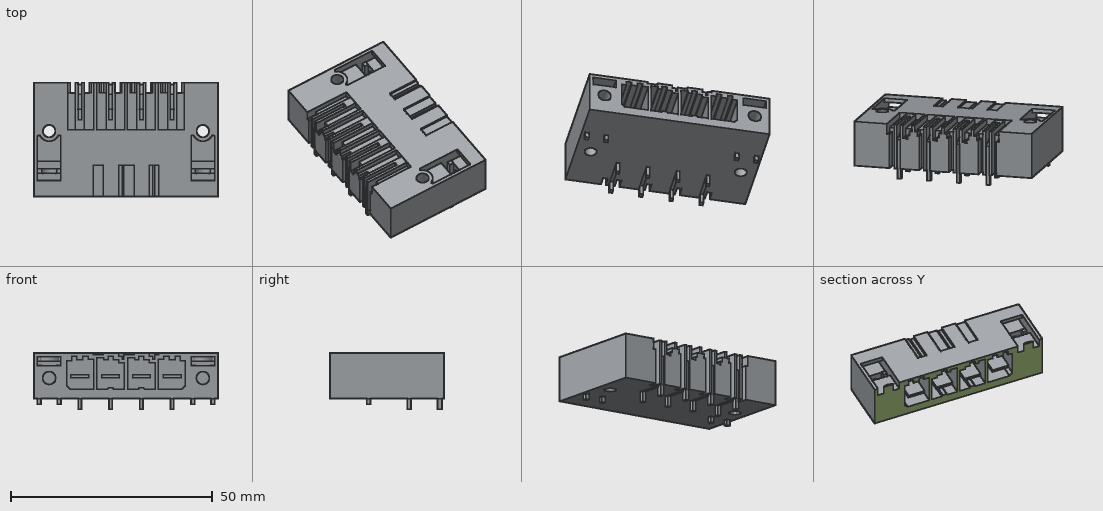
import cadquery as cq
import math

LENGTH = 45.7
DEPTH = 28.3
HEIGHT = 11.35

POLE_COUNT = 4
PITCH = 7.65
POLE_X = [(i - (POLE_COUNT - 1) / 2) * PITCH for i in range(POLE_COUNT)]

CAVITY_DEPTH = 15.55
CAVITY_FLOOR = 2.4
CAVITY_WALL = 0.8
CAVITY_SIDE = (PITCH - CAVITY_WALL) / 2
CAVITY_OUTER_SIDE = 3.2
CAVITY_CHAMFER = 0.8
KEYWAY_TOP = 10.5
KEYWAY_BASE = 9.6
OUTER_KEY_INNER = 0.8
OUTER_KEY_OUTER = 2.05
OUTER_SHOULDER = 9.4
INNER_SHOULDER = 9.75
MID_KEY_HALF = 0.65
MID_STEP_LEFT = 1.65
MID_STEP_RIGHT = 1.95
MID_LEFT_TOP = 10.2
MID_RIGHT_TOP = 8.95
FLOOR_RIB_HEIGHT = 0.3
FLOOR_RIB_BASE = 0.8
FLOOR_RIB_TOP = 0.5

GROOVE_LENGTH = 7.85
GROOVE_DEPTH = 0.45
GROOVE_START = -0.5
GROOVE_LONG_END = 2.0
GROOVE_SHORT_END = 0.5
HOOK_START = -1.85
HOOK_STEP = -0.95
HOOK_DEPTH = 0.8
HOOK_DEEP_DEPTH = 1.55

POCKET_FRONT = 16.65
POCKET_FLOOR = 9.8
POCKET_WALL = 0.7
POCKET_SIDE = (PITCH - POCKET_WALL) / 2
POCKET_OUTER_SIDE = 2.95
RIB_HALF = 1.15
RIB_DROP = 0.15
NOTCH_FRONT = 25.8
NOTCH_HALF = 2.8
NOTCH_LEDGE = 8.7
NOTCH_DROP_HALF = 2.35
RAMP_BASE = 7.75
RAMP_RISE = 0.2
RAMP_WIDTH = 0.65
RAMP_RADIUS = (RAMP_WIDTH**2 + RAMP_RISE**2) / (2 * RAMP_RISE)

FLANGE_X = 19.05
FLANGE_POCKET_WIDTH = 5.8
FLANGE_WINDOW_TOP = 10.4
FLANGE_FLOOR = 8.2
FLANGE_BAR_TOP = 3.95
FLANGE_BAR_BOTTOM = 4.05
FLANGE_STEP_Y = 8.8
FLANGE_STEP_TOP = 9.3
FLANGE_END_RADIUS = 0.35
PAD_FRONT = 5.8
PAD_REAR = 6.9
PAD_TOP = 8.3
PAD_NOTCH_RADIUS = 1.85
FRONT_HOLE_RADIUS = 1.6
FRONT_HOLE_Z = 5.1
NUT_SLOT_FLOOR = FRONT_HOLE_Z - FLANGE_POCKET_WIDTH / 2
SCREW_HOLE_RADIUS = 1.5
SCREW_HOLE_Y = 16.28
SCREW_BOSS_RADIUS = 2.5

BLADE_WIDTH = 4.4
BLADE_THICKNESS = 0.8
BLADE_Z = 5.6
BLADE_FRONT = 5.5
PLATE_THICKNESS = 0.85
PLATE_FRONT = 19.15
PLATE_STEP_Y = 21.65
PLATE_SLOPE_Y = 25.4
PLATE_REAR = 27.85
PLATE_TOP = 8.45
PLATE_REAR_TOP = 7.3
LEG_LENGTH = 2.65
FRONT_LEG_WIDTH = 1.0
REAR_LEG_WIDTH = 1.2

PIN_SIDE = 1.0
PIN_SPACING = 4.95
PIN_Y = 9.6
PIN_LENGTH = 1.4
PIN_EMBEDMENT = 2.3


def box(x0, x1, y0, y1, z0, z1):
    return cq.Workplane("XY").box(x1 - x0, y1 - y0, z1 - z0, centered=False).translate((x0, y0, z0))


def from_front(points, depth):
    """Extrude an XZ outline from the front face towards the rear."""
    return cq.Workplane("XZ").polyline(points).close().extrude(-depth)


def outer_cavity():
    """Cavity of the leftmost pole, centred on X = 0."""
    return from_front(
        [
            (-CAVITY_OUTER_SIDE, CAVITY_FLOOR + CAVITY_CHAMFER),
            (-CAVITY_OUTER_SIDE, OUTER_SHOULDER),
            (-OUTER_KEY_OUTER, OUTER_SHOULDER),
            (-OUTER_KEY_OUTER, KEYWAY_TOP),
            (-OUTER_KEY_INNER, KEYWAY_TOP),
            (-OUTER_KEY_INNER, KEYWAY_BASE),
            (OUTER_KEY_INNER, KEYWAY_BASE),
            (OUTER_KEY_INNER, KEYWAY_TOP),
            (OUTER_KEY_OUTER, KEYWAY_TOP),
            (OUTER_KEY_OUTER, INNER_SHOULDER),
            (CAVITY_SIDE, INNER_SHOULDER),
            (CAVITY_SIDE, CAVITY_FLOOR),
            (-CAVITY_OUTER_SIDE + CAVITY_CHAMFER, CAVITY_FLOOR),
        ],
        CAVITY_DEPTH,
    )


def middle_cavity():
    """Cavity of an inner pole, centred on X = 0, with a low rib along its floor."""
    return from_front(
        [
            (-CAVITY_SIDE, CAVITY_FLOOR),
            (-CAVITY_SIDE, MID_LEFT_TOP),
            (-MID_STEP_LEFT, MID_LEFT_TOP),
            (-MID_STEP_LEFT, KEYWAY_BASE),
            (-MID_KEY_HALF, KEYWAY_BASE),
            (-MID_KEY_HALF, KEYWAY_TOP),
            (MID_KEY_HALF, KEYWAY_TOP),
            (MID_KEY_HALF, KEYWAY_BASE),
            (MID_STEP_RIGHT, KEYWAY_BASE),
            (MID_STEP_RIGHT, MID_RIGHT_TOP),
            (CAVITY_SIDE, MID_RIGHT_TOP),
            (CAVITY_SIDE, CAVITY_FLOOR),
            (FLOOR_RIB_BASE, CAVITY_FLOOR),
            (FLOOR_RIB_TOP, CAVITY_FLOOR + FLOOR_RIB_HEIGHT),
            (-FLOOR_RIB_TOP, CAVITY_FLOOR + FLOOR_RIB_HEIGHT),
            (-FLOOR_RIB_BASE, CAVITY_FLOOR),
        ],
        CAVITY_DEPTH,
    )


def coding_groove(wall_x, end, hooked):
    """Shallow top groove beside a pole wall; a hooked one steps down further on its left side."""
    groove = box(wall_x + GROOVE_START, wall_x + end, 0, GROOVE_LENGTH, HEIGHT - GROOVE_DEPTH, HEIGHT)
    if hooked:
        groove = groove.union(
            box(wall_x + HOOK_START, wall_x + HOOK_STEP, 0, GROOVE_LENGTH, HEIGHT - HOOK_DEPTH, HEIGHT)
        )
        groove = groove.union(
            box(wall_x + HOOK_STEP, wall_x + GROOVE_START, 0, GROOVE_LENGTH, HEIGHT - HOOK_DEEP_DEPTH, HEIGHT)
        )
    return groove


def open_notch(side, ledge_half):
    """Ledged rear notch, open below: right of the rib for side 1, left for side -1."""
    ledge = box(RIB_HALF, ledge_half, NOTCH_FRONT, DEPTH, NOTCH_LEDGE, HEIGHT)
    drop = box(RIB_HALF, NOTCH_DROP_HALF, NOTCH_FRONT, DEPTH, 0, HEIGHT)
    notch = ledge.union(drop)
    return notch if side > 0 else notch.mirror("YZ")


def ramped_notch():
    """Ledged notch left of the rib whose floor rises along a hollow curve to a flat."""
    ramp_end = RAMP_WIDTH - NOTCH_DROP_HALF
    curve_centre = RAMP_BASE + RAMP_RADIUS
    middle_x = -NOTCH_DROP_HALF + RAMP_WIDTH / 2
    middle_z = curve_centre - math.sqrt(RAMP_RADIUS**2 - (RAMP_WIDTH / 2) ** 2)
    return (
        cq.Workplane("XZ", origin=(0, NOTCH_FRONT, 0))
        .moveTo(-NOTCH_HALF, HEIGHT)
        .lineTo(-NOTCH_HALF, NOTCH_LEDGE)
        .lineTo(-NOTCH_DROP_HALF, NOTCH_LEDGE)
        .lineTo(-NOTCH_DROP_HALF, RAMP_BASE)
        .threePointArc((middle_x, middle_z), (ramp_end, RAMP_BASE + RAMP_RISE))
        .lineTo(-RIB_HALF, RAMP_BASE + RAMP_RISE)
        .lineTo(-RIB_HALF, HEIGHT)
        .close()
        .extrude(NOTCH_FRONT - DEPTH)
    )


def rear_pocket(pole):
    """Rear pocket, notches and contact slot of one pole, centred on X = 0."""
    left = POCKET_OUTER_SIDE if pole == 0 else POCKET_SIDE
    right = POCKET_OUTER_SIDE if pole == POLE_COUNT - 1 else POCKET_SIDE
    pocket = box(-left, right, POCKET_FRONT, DEPTH, POCKET_FLOOR, HEIGHT)
    left_notch = open_notch(-1, left) if pole == 0 else ramped_notch()
    right_notch = open_notch(1, right if pole == POLE_COUNT - 1 else NOTCH_HALF)
    pocket = pocket.union(left_notch).union(right_notch)
    pocket = pocket.cut(box(-RIB_HALF, RIB_HALF, POCKET_FRONT, DEPTH, 0, HEIGHT - RIB_DROP))
    half_slot = PLATE_THICKNESS / 2
    return pocket.union(box(-half_slot, half_slot, PLATE_FRONT, DEPTH, 0, HEIGHT))


def flange_plan():
    """Plan of a flange pocket: its rear end wraps the screw boss, with a full round at both tips."""
    half_width = FLANGE_POCKET_WIDTH / 2
    round_x = half_width - FLANGE_END_RADIUS
    centre_distance = SCREW_BOSS_RADIUS + FLANGE_END_RADIUS
    round_y = SCREW_HOLE_Y - math.sqrt(centre_distance**2 - round_x**2)
    tangent_x = round_x * SCREW_BOSS_RADIUS / centre_distance
    tangent_y = SCREW_HOLE_Y - (SCREW_HOLE_Y - round_y) * SCREW_BOSS_RADIUS / centre_distance
    return (
        cq.Workplane("XY")
        .moveTo(-half_width, 0)
        .lineTo(half_width, 0)
        .lineTo(half_width, round_y)
        .threePointArc((round_x, round_y + FLANGE_END_RADIUS), (tangent_x, tangent_y))
        .threePointArc((0, SCREW_HOLE_Y - SCREW_BOSS_RADIUS), (-tangent_x, tangent_y))
        .threePointArc((-round_x, round_y + FLANGE_END_RADIUS), (-half_width, round_y))
        .close()
        .extrude(HEIGHT)
    )


def flange_cut():
    """Stepped pocket of one flange with its front window, deep nut slot and holes, centred on X = 0.

    The pad in front of the nut slot has a round-bottomed notch, coaxial with the front hole.
    """
    half_width = FLANGE_POCKET_WIDTH / 2
    profile = [
        (0, FLANGE_FLOOR),
        (PAD_FRONT, FLANGE_FLOOR),
        (PAD_FRONT, PAD_TOP),
        (PAD_REAR, PAD_TOP),
        (PAD_REAR, NUT_SLOT_FLOOR),
        (FLANGE_STEP_Y, NUT_SLOT_FLOOR),
        (FLANGE_STEP_Y, FLANGE_STEP_TOP),
        (SCREW_HOLE_Y, FLANGE_STEP_TOP),
        (SCREW_HOLE_Y, HEIGHT),
        (FLANGE_BAR_TOP, HEIGHT),
        (FLANGE_BAR_BOTTOM, FLANGE_WINDOW_TOP),
        (0, FLANGE_WINDOW_TOP),
    ]
    pocket = cq.Workplane("YZ", origin=(-half_width, 0, 0)).polyline(profile).close()
    pocket = pocket.extrude(FLANGE_POCKET_WIDTH)
    pocket = pocket.intersect(flange_plan())

    notch_axis = cq.Workplane("XZ", origin=(0, PAD_FRONT, FRONT_HOLE_Z))
    pad_notch = notch_axis.circle(PAD_NOTCH_RADIUS).extrude(PAD_FRONT - PAD_REAR)
    pad_notch = pad_notch.union(
        box(-PAD_NOTCH_RADIUS, PAD_NOTCH_RADIUS, PAD_FRONT, PAD_REAR, FRONT_HOLE_Z, PAD_TOP)
    )
    front_hole = cq.Workplane("XZ", origin=(0, 0, FRONT_HOLE_Z))
    front_hole = front_hole.circle(FRONT_HOLE_RADIUS).extrude(-PAD_REAR)
    screw_hole = cq.Workplane("XY").center(0, SCREW_HOLE_Y).circle(SCREW_HOLE_RADIUS).extrude(HEIGHT)
    return pocket.union(pad_notch).union(front_hole).union(screw_hole)


def make_contact(x):
    """One contact: flat blade and a stepped plate whose legs stand out below the underside."""
    half_blade = BLADE_WIDTH / 2
    blade_top = BLADE_Z + BLADE_THICKNESS / 2
    blade = box(-half_blade, half_blade, BLADE_FRONT, PLATE_STEP_Y, blade_top - BLADE_THICKNESS, blade_top)
    plate = (
        cq.Workplane("YZ")
        .polyline(
            [
                (PLATE_FRONT, -LEG_LENGTH),
                (PLATE_FRONT, blade_top),
                (PLATE_STEP_Y, blade_top),
                (PLATE_STEP_Y, PLATE_TOP),
                (PLATE_SLOPE_Y, PLATE_TOP),
                (PLATE_REAR, PLATE_REAR_TOP),
                (PLATE_REAR, -LEG_LENGTH),
                (PLATE_REAR - REAR_LEG_WIDTH, -LEG_LENGTH),
                (PLATE_REAR - REAR_LEG_WIDTH, 0),
                (PLATE_FRONT + FRONT_LEG_WIDTH, 0),
                (PLATE_FRONT + FRONT_LEG_WIDTH, -LEG_LENGTH),
            ]
        )
        .close()
        .extrude(PLATE_THICKNESS / 2, both=True)
    )
    return blade.union(plate).translate((x, 0, 0))


def make_solder_pin(x):
    """One square flange pin, standing in a blind hole in the underside."""
    half = PIN_SIDE / 2
    return box(x - half, x + half, PIN_Y - half, PIN_Y + half, -PIN_LENGTH, PIN_EMBEDMENT)


def make_housing(inserts):
    """Housing block with its openings and a matching recess for every insert."""
    housing = box(-LENGTH / 2, LENGTH / 2, 0, DEPTH, 0, HEIGHT)

    cavities = [middle_cavity() for _ in POLE_X]
    cavities[0] = outer_cavity()
    cavities[-1] = outer_cavity().mirror("YZ")
    for pole, x in enumerate(POLE_X):
        housing = housing.cut(cavities[pole].translate((x, 0, 0)))
        housing = housing.cut(rear_pocket(pole).translate((x, 0, 0)))

    housing = housing.cut(coding_groove(-PITCH, GROOVE_LONG_END, False))
    housing = housing.cut(coding_groove(0, GROOVE_LONG_END, True))
    housing = housing.cut(coding_groove(PITCH, GROOVE_SHORT_END, True))

    for flange_x in (-FLANGE_X, FLANGE_X):
        housing = housing.cut(flange_cut().translate((flange_x, 0, 0)))
    for insert in inserts:
        housing = housing.cut(insert)
    return housing.solids()


contacts = [make_contact(x) for x in POLE_X]
solder_pins = [
    make_solder_pin(flange_x + offset)
    for flange_x in (-FLANGE_X, FLANGE_X)
    for offset in (-PIN_SPACING / 2, PIN_SPACING / 2)
]
housing = make_housing(contacts + solder_pins)

result = cq.Compound.makeCompound([body.val() for body in [housing, *contacts, *solder_pins]])